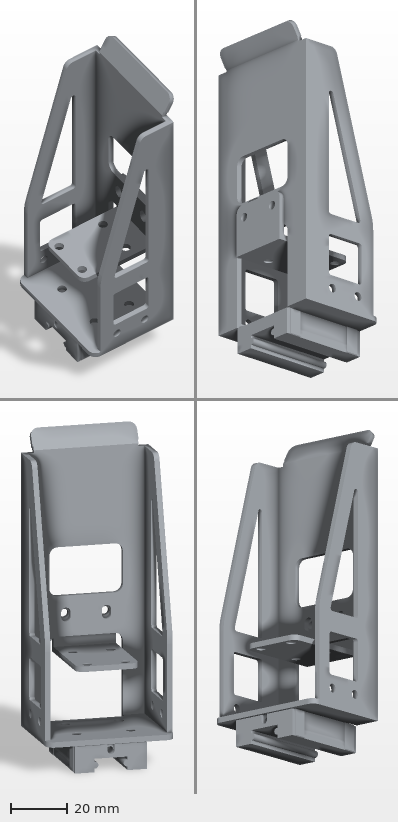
import cadquery as cq
import math


width = 47.0
overall_depth = 38.7
overall_height = 118

sheet = 2.0
corner_radius = 3.0
base_depth = 34.8
base_bottom = 10.0
base_top = base_bottom + sheet
wall_top = 109.7

wall_depth = 31.7
wall_top_depth = 14.0
slope_start_z = 47.2
slope_blend_radius = 20.1
wall_slope = (wall_depth - wall_top_depth) / (wall_top - slope_start_z)

wall_window_rear = 10.9
wall_window_front = 26.2
wall_window_bottom = 22.2
wall_window_top = 37.9
wall_window_radius = 1.0
triangle_bottom = 45.5
brace_width = 6.0
wall_hole_diameter = 3.2
wall_hole_spacing = 12.0
wall_hole_z = 17.3

back_window_width = 27.0
upper_window_bottom = 56.9
upper_window_top = 74.8
lower_window_top = 42.1
base_notch_depth = 4.0
slot_spacing = 15.0
slot_width = 3.4
slot_length = 5.1
slot_z = 50.0

lip_width = 39.0
lip_neck_width = 38.6
lip_neck_length = 1.0
lip_angle = math.radians(30)
lip_reach = overall_depth - base_depth
lip_length = lip_reach / math.sin(lip_angle)

shelf_width = 23.0
shelf_bottom = 36.0
shelf_front = 31.0
flange_top = 55.0
flange_hole_diameter = 3.2

plate_hole_diameter = 3.4
shelf_hole_spacing_x = 14.0
shelf_hole_spacing_y = 19.0
shelf_hole_edge = 3.0
base_hole_spacing_x = 20.0
base_hole_spacing_y = 15.0
base_hole_edge = 10.0

clip_width = 27.0
clip_depth = 34.5
clip_end_length = 1.4
clip_end_inset = 0.3
channel_width = 12.3
channel_height = 5.0
ridge_diameter = 2.5
ridge_spacing = 11.8
ridge_z = 2.6
recess_length = 22.0
recess_depth = 0.6
recess_lower_depth = 0.41
recess_taper_bottom = 2.6
recess_taper_top = 3.4
clip_slot_depth = clip_end_length
clip_hole_diameter = 2.5
clip_hole_depth = 5.9
clip_hole_z = 7.5


def block(x_size, y_range, z_range):
    """Box centred on x = 0 that spans the given y and z ranges."""
    y_low, y_high = y_range
    z_low, z_high = z_range
    box = cq.Workplane("XY").box(x_size, y_high - y_low, z_high - z_low, centered=(True, False, False))
    return box.translate((0, y_low, z_low))


def side_profile(points, x_size):
    """Closed (y, z) outline extruded symmetrically along X."""
    return cq.Workplane("YZ").polyline(points).close().extrude(x_size / 2, both=True)


def hole_grid(spacing_x, spacing_y, front_y, diameter, z_low, depth):
    """Four vertical holes whose front row lies at front_y."""
    centre_y = front_y + spacing_y / 2
    grid = cq.Workplane("XY", origin=(0, centre_y, z_low)).rarray(spacing_x, spacing_y, 2, 2)
    return grid.circle(diameter / 2).extrude(depth)


def slope_y(z):
    """Y of the sloping front edge of the side walls at height z."""
    return -(wall_depth - wall_slope * (z - slope_start_z))


def side_walls():
    outline = [
        (0, base_bottom),
        (-wall_depth, base_bottom),
        (-wall_depth, slope_start_z),
        (-wall_top_depth, wall_top),
        (0, wall_top),
    ]
    walls = side_profile(outline, width)
    walls = walls.edges(cq.NearestToPointSelector((0, -wall_depth, slope_start_z))).fillet(slope_blend_radius)
    walls = walls.edges(cq.NearestToPointSelector((0, -wall_top_depth, wall_top))).fillet(corner_radius)
    walls = walls.cut(block(width - 2 * sheet, (-base_depth, 0), (0, overall_height)))

    window = block(
        width, (-wall_window_front, -wall_window_rear), (wall_window_bottom, wall_window_top)
    ).edges("|X").fillet(wall_window_radius)

    brace_run = brace_width * math.hypot(1, wall_slope)
    triangle_front = slope_y(triangle_bottom) + brace_run
    triangle_height = (-wall_window_rear - triangle_front) / wall_slope
    triangle = side_profile(
        [
            (-wall_window_rear, triangle_bottom),
            (triangle_front, triangle_bottom),
            (-wall_window_rear, triangle_bottom + triangle_height),
        ],
        width,
    ).edges("|X").fillet(wall_window_radius)

    hole_y = -(wall_window_rear + wall_window_front) / 2
    holes = (
        cq.Workplane("YZ", origin=(0, hole_y, wall_hole_z))
        .rarray(wall_hole_spacing, 1.2, 2, 1)
        .circle(wall_hole_diameter / 2)
        .extrude(width / 2, both=True)
    )
    return walls.cut(window).cut(triangle).cut(holes)


def back_plate():
    plate = block(width, (-sheet, 0), (base_bottom, wall_top))
    upper_window = block(back_window_width, (-sheet, 0), (upper_window_bottom, upper_window_top))
    upper_window = upper_window.edges("|Y").fillet(corner_radius)
    slots = (
        cq.Workplane("XZ", origin=(0, 0, slot_z))
        .rarray(slot_spacing, 1.2, 2, 1)
        .slot2D(slot_length, slot_width, 90)
        .extrude(sheet)
    )
    return plate.cut(upper_window).cut(slots)


def base_plate():
    plate = block(width, (-base_depth, 0), (base_bottom, base_top))
    plate = plate.edges("|Z and <Y").fillet(corner_radius)
    holes = hole_grid(
        base_hole_spacing_x,
        base_hole_spacing_y,
        -base_depth + base_hole_edge,
        plate_hole_diameter,
        base_bottom,
        sheet,
    )
    return plate.cut(holes)


def lower_window():
    """Opening in the back plate that runs down through the bend into the base."""
    opening = block(back_window_width, (-base_notch_depth, 0), (base_bottom, lower_window_top))
    return opening.edges("|Y and >Z").fillet(corner_radius)


def lip():
    along_y = math.sin(lip_angle)
    along_z = math.cos(lip_angle)
    mitre = sheet * math.tan(lip_angle / 2)
    bend_z = overall_height - sheet * along_y - lip_length * along_z

    def lip_point(distance, depth):
        """(y, z) at a distance up the lip and a depth in from its rear face."""
        return (
            distance * along_y - depth * along_z,
            bend_z + distance * along_z + depth * along_y,
        )

    neck_outer = lip_point(lip_neck_length, 0)
    neck_inner = lip_point(lip_neck_length, sheet)
    blade = side_profile(
        [neck_outer, lip_point(lip_length, 0), lip_point(lip_length, sheet), neck_inner],
        lip_width,
    )
    neck = side_profile(
        [(0, wall_top), (0, bend_z), neck_outer, neck_inner, (-sheet, bend_z + mitre), (-sheet, wall_top)],
        lip_neck_width,
    )
    tip_y, tip_z = lip_point(lip_length, sheet / 2)
    for x in (-lip_width / 2, lip_width / 2):
        blade = blade.edges(cq.NearestToPointSelector((x, tip_y, tip_z))).fillet(corner_radius)
    return blade.union(neck)


def shelf():
    plate = block(shelf_width, (-shelf_front, sheet), (shelf_bottom, shelf_bottom + sheet))
    plate = plate.edges("|Z and <Y").fillet(corner_radius)
    plate_holes = hole_grid(
        shelf_hole_spacing_x,
        shelf_hole_spacing_y,
        -shelf_front + shelf_hole_edge,
        plate_hole_diameter,
        shelf_bottom,
        sheet,
    )
    flange = block(shelf_width, (0, sheet), (shelf_bottom, flange_top))
    flange = flange.edges("|Y and >Z").fillet(corner_radius)
    flange_holes = (
        cq.Workplane("XZ", origin=(0, sheet, slot_z))
        .rarray(slot_spacing, 1.2, 2, 1)
        .circle(flange_hole_diameter / 2)
        .extrude(sheet)
    )
    return plate.cut(plate_holes).union(flange.cut(flange_holes))


def rail_clip():
    ends = block(clip_width - 2 * clip_end_inset, (-clip_depth, 0), (0, base_bottom - clip_end_inset))
    middle = block(clip_width, (-clip_depth + clip_end_length, -clip_end_length), (0, base_bottom))
    clip = ends.union(middle.edges("|Y").chamfer(clip_end_inset))

    clip = clip.cut(block(channel_width, (-clip_depth, 0), (0, channel_height)))
    ridges = (
        cq.Workplane("XZ", origin=(0, 0, ridge_z))
        .rarray(ridge_spacing, 1.2, 2, 1)
        .circle(ridge_diameter / 2)
        .extrude(clip_depth)
    )
    clip = clip.union(ridges)

    side_x = clip_width / 2
    recess = (
        cq.Workplane("XZ", origin=(0, -(clip_depth - recess_length) / 2, 0))
        .moveTo(side_x, 0)
        .lineTo(side_x - recess_lower_depth, 0)
        .lineTo(side_x - recess_lower_depth, recess_taper_bottom)
        .lineTo(side_x - recess_depth, recess_taper_top)
        .lineTo(side_x - recess_depth, base_bottom)
        .lineTo(side_x, base_bottom)
        .close()
        .extrude(recess_length)
    )
    clip = clip.cut(recess).cut(recess.mirror("YZ"))

    hole = cq.Workplane("XZ", origin=(0, -clip_depth, clip_hole_z)).circle(clip_hole_diameter / 2)
    hole = hole.extrude(-clip_hole_depth)
    slot = block(
        clip_hole_diameter,
        (-clip_depth, -clip_depth + clip_slot_depth),
        (clip_hole_z, base_bottom),
    )
    return clip.cut(hole).cut(slot)


body = side_walls().union(back_plate()).union(base_plate()).cut(lower_window())
result = body.union(lip()).union(shelf()).union(rail_clip())